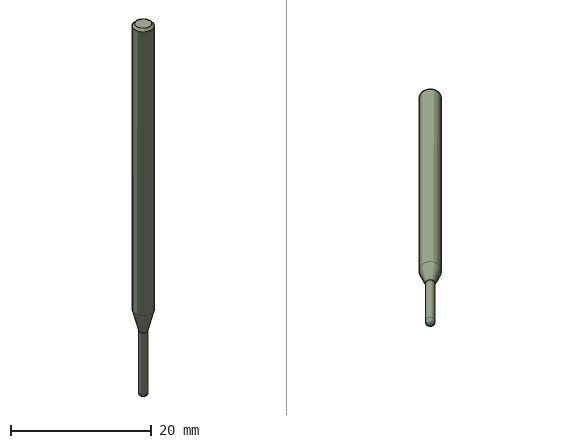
import cadquery as cq
import math

overall_length = 63.5
shank_diameter = 3.175
cutter_diameter = 1.4
cutter_length = 11.176
collar_length = 0.2
taper_length = 3.4
shank_chamfer = 0.381

shank_radius = shank_diameter / 2
cutter_radius = cutter_diameter / 2
taper_bottom = cutter_length + collar_length
taper_top = taper_bottom + taper_length
end_face_radius = shank_radius - shank_chamfer
ball_midpoint = cutter_radius * math.sin(math.radians(45))


def revolve_about_z(half_profile):
    """Turn a closed half profile, drawn in the XZ plane, about the Z axis."""
    return half_profile.revolve(360, (0, 0, 0), (0, 1, 0))


def make_shank():
    """Cylindrical shank with a chamfered top and a taper ending in a short collar."""
    half_profile = (
        cq.Workplane("XZ")
        .moveTo(0, cutter_length)
        .lineTo(cutter_radius, cutter_length)
        .lineTo(cutter_radius, taper_bottom)
        .lineTo(shank_radius, taper_top)
        .lineTo(shank_radius, overall_length - shank_chamfer)
        .lineTo(end_face_radius, overall_length)
        .lineTo(0, overall_length)
        .close()
    )
    return revolve_about_z(half_profile)


def make_cutter():
    """Slim round cutter with a ball-shaped end, seated flat against the shank collar."""
    half_profile = (
        cq.Workplane("XZ")
        .moveTo(0, 0)
        .threePointArc((ball_midpoint, cutter_radius - ball_midpoint), (cutter_radius, cutter_radius))
        .lineTo(cutter_radius, cutter_length)
        .lineTo(0, cutter_length)
        .close()
    )
    return revolve_about_z(half_profile)


shank = make_shank()
cutter = make_cutter()

result = cq.Compound.makeCompound([shank.val(), cutter.val()])